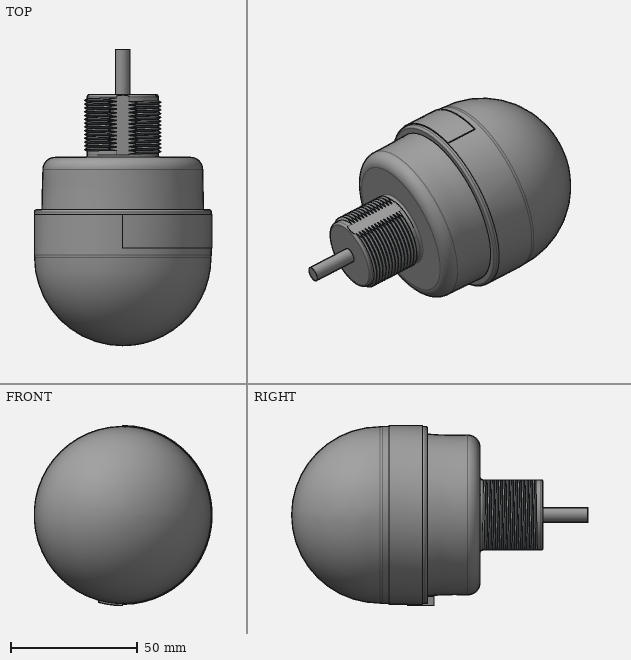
import cadquery as cq
import math


TOTAL_LENGTH = 117.2

COVER_RADIUS = 35.0
DOME_RADIUS = 34.9
DOME_TIP_Y = -51.8
DOME_CENTER_Y = DOME_TIP_Y + DOME_RADIUS
BEVEL_LENGTH = 1.0
BEVEL_START_Y = DOME_CENTER_Y + BEVEL_LENGTH

FLANGE_THICKNESS = 2.0
FLANGE_ROUND = 0.9
BODY_FRONT_RADIUS = 32.0
BODY_BACK_RADIUS = 31.7
BODY_BACK_Y = 22.7
SHOULDER_ROUND = 4.9

STEM_END_Y = 47.6
STEM_ROOT_RADIUS = 14.1
STEM_FOOT = 0.9
STEM_END_ROUND = 0.9
THREAD_CREST_RADIUS = 15.1
THREAD_LENGTH = 21.0
THREAD_TURNS = 14
THREAD_PITCH = THREAD_LENGTH / THREAD_TURNS
THREAD_START_Y = 24.6
THREAD_START_ANGLE = -90
THREAD_RIDGE_WIDTH = 1.4
THREAD_EMBED = 0.1
STEM_FLAT_DISTANCE = 13.8
CUT_MARGIN = 1.2

CABLE_RADIUS = 2.9
CABLE_END_Y = DOME_TIP_Y + TOTAL_LENGTH

LABEL_THICKNESS = 0.4
LABEL_WIDTH = 13.2

CLIP_WIDTH = 9.5
CLIP_OUTER_RADIUS = 35.9
CLIP_FRONT_Y = -5.9
CLIP_BACK_Y = 4.6
CLIP_HOOK_Z = -32.1
CLIP_CHAMFER = 0.7


def cylinder(radius, start_y, end_y):
    """Solid cylinder about the Y axis."""
    return cq.Workplane("XZ", origin=(0, start_y, 0)).circle(radius).extrude(start_y - end_y)


def box(x_range, y_range, z_range):
    """Box between two limits along each axis."""
    size = [high - low for low, high in (x_range, y_range, z_range)]
    corner = (x_range[0], y_range[0], z_range[0])
    return cq.Workplane("XY").box(*size, centered=False).translate(corner)


def revolve_about_y(profile):
    return profile.close().revolve(360, (0, 0, 0), (0, 1, 0))


def make_thread_half_turn():
    """Half a turn of the helical ridge, sunk slightly into the stem and cut short by the flats."""
    base_radius = STEM_ROOT_RADIUS - THREAD_EMBED
    half_base = THREAD_RIDGE_WIDTH / 2
    helix = cq.Wire.makeHelix(THREAD_PITCH, THREAD_PITCH / 2, base_radius)
    ridge = (
        cq.Workplane("XZ")
        .moveTo(base_radius, -half_base)
        .lineTo(THREAD_CREST_RADIUS, 0)
        .lineTo(base_radius, half_base)
        .close()
        .sweep(cq.Workplane(helix), isFrenet=True)
    )
    ridge = ridge.rotate((0, 0, 0), (1, 0, 0), -90).rotate((0, 0, 0), (0, 1, 0), THREAD_START_ANGLE)
    return cut_stem_flats(ridge.translate((0, THREAD_START_Y, 0)))


def make_thread_pieces():
    """All half turns of the thread, alternating between the two sides of the stem."""
    half_turn = make_thread_half_turn()
    pieces = []
    for index in range(2 * THREAD_TURNS):
        turned = half_turn.rotate((0, 0, 0), (0, 1, 0), 180 * index)
        pieces.append(turned.translate((0, THREAD_PITCH / 2 * index, 0)).val())
    return pieces


def cut_stem_flats(body):
    """Flats along the top and the bottom of the stem."""
    reach = THREAD_CREST_RADIUS + CUT_MARGIN
    flat_y = (BODY_BACK_Y + STEM_FOOT, STEM_END_Y + CUT_MARGIN)
    for z_range in ((STEM_FLAT_DISTANCE, reach), (-reach, -STEM_FLAT_DISTANCE)):
        body = body.cut(box((-reach, reach), flat_y, z_range))
    return body


def make_housing():
    """Flange, drum-shaped body and threaded stem."""
    corner = 1 - math.sqrt(0.5)
    profile = (
        cq.Workplane("XY")
        .lineTo(COVER_RADIUS, 0)
        .lineTo(COVER_RADIUS, FLANGE_THICKNESS - FLANGE_ROUND)
        .threePointArc(
            (COVER_RADIUS - FLANGE_ROUND * corner, FLANGE_THICKNESS - FLANGE_ROUND * corner),
            (COVER_RADIUS - FLANGE_ROUND, FLANGE_THICKNESS),
        )
        .lineTo(BODY_FRONT_RADIUS, FLANGE_THICKNESS)
        .lineTo(BODY_BACK_RADIUS, BODY_BACK_Y - SHOULDER_ROUND)
        .threePointArc(
            (BODY_BACK_RADIUS - SHOULDER_ROUND * corner, BODY_BACK_Y - SHOULDER_ROUND * corner),
            (BODY_BACK_RADIUS - SHOULDER_ROUND, BODY_BACK_Y),
        )
        .lineTo(STEM_ROOT_RADIUS + STEM_FOOT, BODY_BACK_Y)
        .threePointArc(
            (STEM_ROOT_RADIUS + STEM_FOOT * corner, BODY_BACK_Y + STEM_FOOT * corner),
            (STEM_ROOT_RADIUS, BODY_BACK_Y + STEM_FOOT),
        )
        .lineTo(STEM_ROOT_RADIUS, STEM_END_Y - STEM_END_ROUND)
        .threePointArc(
            (STEM_ROOT_RADIUS - STEM_END_ROUND * corner, STEM_END_Y - STEM_END_ROUND * corner),
            (STEM_ROOT_RADIUS - STEM_END_ROUND, STEM_END_Y),
        )
        .lineTo(0, STEM_END_Y)
    )
    body = cut_stem_flats(revolve_about_y(profile))
    return cq.Workplane(body.val().fuse(*make_thread_pieces()).clean())


def make_cover():
    """Cylinder with a narrow bevel leading into a hemispherical dome."""
    diagonal = DOME_RADIUS * math.sqrt(0.5)
    profile = (
        cq.Workplane("XY")
        .lineTo(COVER_RADIUS, 0)
        .lineTo(COVER_RADIUS, BEVEL_START_Y)
        .lineTo(DOME_RADIUS, DOME_CENTER_Y)
        .threePointArc((diagonal, DOME_CENTER_Y - diagonal), (0, DOME_TIP_Y))
    )
    return revolve_about_y(profile)


def make_cable():
    """Cable that starts at the end face of the stem."""
    return cylinder(CABLE_RADIUS, STEM_END_Y, CABLE_END_Y)


def make_label():
    """Thin half ring on the +X side of the cover."""
    outer_radius = COVER_RADIUS + LABEL_THICKNESS
    ring = cylinder(outer_radius, -LABEL_WIDTH, 0).cut(cylinder(COVER_RADIUS, -LABEL_WIDTH, 0))
    return ring.intersect(box((0, outer_radius), (-LABEL_WIDTH, 0), (-outer_radius, outer_radius)))


def make_clip():
    """Curved plate under the cover with a hook behind the flange."""
    block = box((-CLIP_WIDTH, 0), (CLIP_FRONT_Y, CLIP_BACK_Y), (-CLIP_OUTER_RADIUS, CLIP_HOOK_Z))
    block = block.edges("|Z and >Y and <X").chamfer(CLIP_CHAMFER)
    clip = block.intersect(cylinder(CLIP_OUTER_RADIUS, CLIP_FRONT_Y, CLIP_BACK_Y))
    return clip.cut(cylinder(COVER_RADIUS, CLIP_FRONT_Y, FLANGE_THICKNESS))


housing = make_housing()
cover = make_cover()
cable = make_cable()
label = make_label()
clip = make_clip()

result = cq.Compound.makeCompound([housing.val(), cover.val(), cable.val(), label.val(), clip.val()])